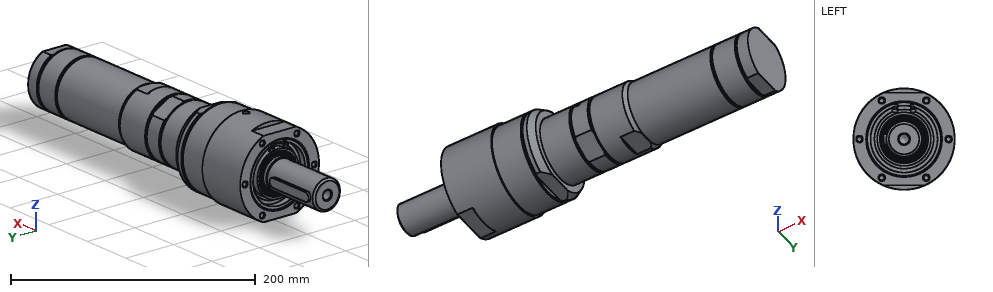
import cadquery as cq
import math

overall_length = 353.2

shaft_dia = 29.0
shaft_chamfer_length = 1.5
shaft_tip_dia = 24.7
collar_start = 60.0
collar_dia = 31.0
center_mouth_dia = 10.0
center_hole_dia = 8.5
center_hole_depth = 17.5

key_start = 4.0
key_end = 54.5
key_width = 8.5
key_top = 16.5

flange_start = 61.8
flange_end = 111.0
flange_dia = 83.0
flange_flats_end = 76.5
flange_across_flats = 75.5

housing_end = 139.5
housing_dia = 79.8
nut_end = 151.0
nut_taper_start = 144.8
nut_end_dia = 72.8
nut_across_flats = 69.2

body_dia = 60.0
ring_start = 180.5
ring_end = 198.5
ring_across_flats = 55.0
ring_flat_angle = 60.0
body_flats_start = 218.3
body_flats_end = 235.5
body_taper_start = 231.7
body_across_flats = 54.7

motor_dia = 56.0
motor_groove_x = 317.0
end_cap_start = 341.2
end_cap_across_flats = 50.0

groove_width = 1.8
groove_depth = 0.7

recess_mouth_dia = 62.0
recess_dia = 60.0
recess_mouth_depth = 0.7
bore_dia = 54.7
bore_depth = 7.0
seal_seat_dia = 48.5
seal_seat_depth = 8.5
seal_dia = 43.8
seal_face_depth = 2.0
seal_lip_dias = [39.5, 35.0]
seal_lip_groove = 1.0

retainer_depth = 0.7
retainer_thickness = 1.5
ear_offset = 7.5
ear_width = 4.2
ear_bottom = 22.0
ear_top = 28.3
ear_hole_dia = 2.5
ear_hole_z = 25.5

screw_count = 6
screw_circle_dia = 72.8
screw_mouth_dia = 5.5
screw_dia = 4.2
screw_depth = 10.5

cone_slope = 0.6

radial_hole_dia = 5.5
radial_hole_depth = 1.8
radial_pilot_dia = 2.5
radial_pilot_depth = 3.5
flange_hole_x = 105.3
ring_hole_x = 184.7
ring_hole_angle = ring_flat_angle + 90.0


def cylinder(start, end, dia):
    """Solid round bar along X."""
    return cq.Workplane("YZ").workplane(offset=start).circle(dia / 2).extrude(end - start)


def tube(start, end, outer, inner):
    """Hollow round bar along X."""
    return cylinder(start, end, outer).cut(cylinder(start, end, inner))


def cone(start, end, start_dia, end_dia):
    """Tapered round bar along X."""
    outline = [(start, 0), (start, start_dia / 2), (end, end_dia / 2), (end, 0)]
    return cq.Workplane("XY").polyline(outline).close().revolve(360, (0, 0, 0), (1, 0, 0))


def flats(start, end, across, angle=90.0):
    """Material outside two parallel flats; angle is the flat normal measured from +Y about X."""
    length = end - start
    outside = cq.Workplane("XY").box(length, 2 * flange_dia, 2 * flange_dia)
    inside = cq.Workplane("XY").box(length, across, 2 * flange_dia)
    cutter = outside.cut(inside).rotate((0, 0, 0), (1, 0, 0), angle)
    return cutter.translate(((start + end) / 2, 0, 0))


def groove(center, dia):
    """Narrow ring cut around a cylinder of the given diameter."""
    half = groove_width / 2
    return tube(center - half, center + half, dia + groove_depth, dia - 2 * groove_depth)


def blind_hole(start, mouth_dia, dia, depth):
    """Countersunk hole along +X with a conical bottom."""
    radius = dia / 2
    mouth_radius = mouth_dia / 2
    outline = [
        (start, 0),
        (start, mouth_radius),
        (start + mouth_radius - radius, radius),
        (start + depth - radius * cone_slope, radius),
        (start + depth, 0),
    ]
    return cq.Workplane("XY").polyline(outline).close().revolve(360, (0, 0, 0), (1, 0, 0))


def radial_hole(x, angle, surface_dia):
    """Stepped hole drilled towards the axis; angle is measured from +Y about X."""
    hole = cq.Workplane("XZ").circle(radial_hole_dia / 2).extrude(-flange_dia)
    pilot = cq.Workplane("XZ").circle(radial_pilot_dia / 2).extrude(-flange_dia)
    hole = hole.union(pilot.translate((0, -radial_pilot_depth, 0)))
    hole = hole.translate((x, surface_dia / 2 - radial_hole_depth, 0))
    return hole.rotate((0, 0, 0), (1, 0, 0), angle)


def retainer(front, back):
    """Retaining ring with a gap at the top and a drilled ear at each end."""
    thickness = back - front
    gap = cq.Workplane("XY").box(2 * thickness, 2 * ear_offset, recess_dia)
    ring = tube(front, back, recess_dia, bore_dia).cut(gap.translate((front, 0, recess_dia / 2)))
    for side in (-1, 1):
        ear = cq.Workplane("XY").box(thickness, ear_width, ear_top - ear_bottom)
        ear = ear.translate(((front + back) / 2, side * ear_offset, (ear_top + ear_bottom) / 2))
        hole = cylinder(front, back, ear_hole_dia).translate((0, side * ear_offset, ear_hole_z))
        ring = ring.union(ear).cut(hole)
    return ring


part = cone(0, shaft_chamfer_length, shaft_tip_dia, shaft_dia)
part = part.union(cylinder(shaft_chamfer_length, collar_start, shaft_dia))
part = part.union(cylinder(flange_start, flange_end, flange_dia))
part = part.union(cylinder(flange_end, nut_taper_start, housing_dia))
part = part.union(cone(nut_taper_start, nut_end, housing_dia, nut_end_dia))
part = part.union(cylinder(nut_end, body_taper_start, body_dia))
part = part.union(cone(body_taper_start, body_flats_end, body_dia, motor_dia))
part = part.union(cylinder(body_flats_end, overall_length, motor_dia))

part = part.cut(flats(flange_start, flange_flats_end, flange_across_flats))
part = part.cut(flats(housing_end, nut_end, nut_across_flats))
part = part.cut(flats(ring_start, ring_end, ring_across_flats, ring_flat_angle))
part = part.cut(flats(body_flats_start, body_flats_end, body_across_flats))
part = part.cut(flats(end_cap_start, overall_length, end_cap_across_flats))

for x, dia in [
    (housing_end, housing_dia),
    (ring_start, body_dia),
    (ring_end, body_dia),
    (motor_groove_x, motor_dia),
    (end_cap_start, motor_dia),
]:
    part = part.cut(groove(x, dia))

retainer_front = flange_start + retainer_depth
retainer_back = retainer_front + retainer_thickness
seal_face = flange_start + seal_face_depth
seat_floor = flange_start + seal_seat_depth
part = part.cut(cone(flange_start, flange_start + recess_mouth_depth, recess_mouth_dia, recess_dia))
part = part.cut(cylinder(flange_start, retainer_back, recess_dia))
part = part.cut(cylinder(flange_start, flange_start + bore_depth, bore_dia))
part = part.cut(cylinder(flange_start, seat_floor, seal_seat_dia))

part = part.union(cylinder(seal_face, seat_floor, seal_dia))
for lip_dia in seal_lip_dias:
    lip_inner_dia = lip_dia - 2 * seal_lip_groove
    part = part.cut(tube(seal_face, seal_face + seal_lip_groove, lip_dia, lip_inner_dia))
part = part.union(cylinder(collar_start, seat_floor, collar_dia))
part = part.union(retainer(retainer_front, retainer_back))

key = (
    cq.Workplane("XZ")
    .center((key_start + key_end) / 2, 0)
    .slot2D(key_end - key_start, key_width)
    .extrude(-key_top)
)
part = part.union(key)

part = part.cut(blind_hole(0, center_mouth_dia, center_hole_dia, center_hole_depth))
screw_hole = blind_hole(flange_start, screw_mouth_dia, screw_dia, screw_depth)
for i in range(screw_count):
    angle = math.radians(i * 360 / screw_count)
    y = screw_circle_dia / 2 * math.cos(angle)
    z = screw_circle_dia / 2 * math.sin(angle)
    part = part.cut(screw_hole.translate((0, y, z)))
part = part.cut(radial_hole(flange_hole_x, 90.0, flange_dia))
part = part.cut(radial_hole(ring_hole_x, ring_hole_angle, body_dia))

result = part